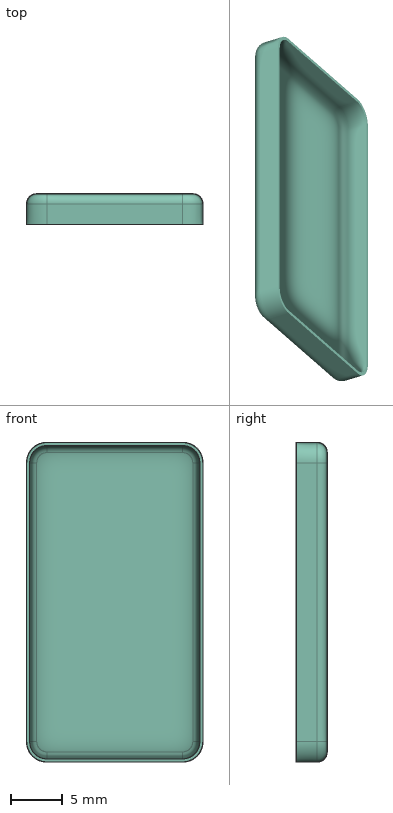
import cadquery as cq

width = 17.1
depth = 3.0
height = 31.0

wall = 0.3
corner_radius = 1.98
back_edge_radius = 1.0


def rounded_block(inset):
    """Block inset from the outer faces, rounded at its corners and back edge; its front stays at y = 0."""
    return (
        cq.Workplane("XY")
        .box(width - 2 * inset, depth - inset, height - 2 * inset, centered=(True, False, True))
        .edges("|Y")
        .fillet(corner_radius - inset)
        .faces(">Y")
        .edges()
        .fillet(back_edge_radius - inset)
    )


outside = rounded_block(0)
cavity = rounded_block(wall)
tray = outside.cut(cavity)

result = tray.translate((0, -depth / 2, 0))